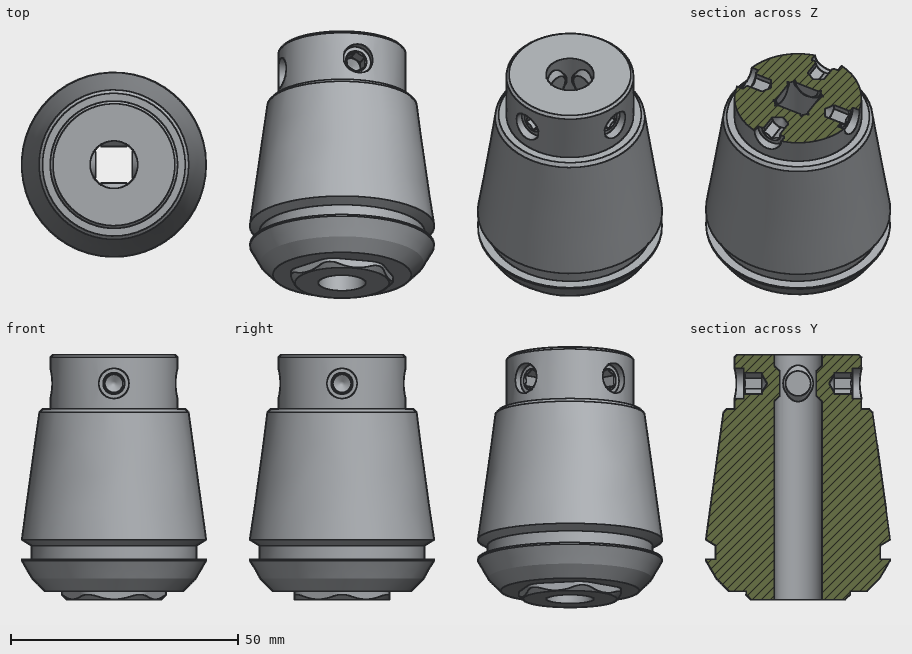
import cadquery as cq
import math

hex_sides = 6
full_turn = 360.0

total_height = 54.0
collar_radius = 28.0 / 2
collar_chamfer = 0.6
shoulder_z = 42.0
shoulder_radius = 16.45
shoulder_chamfer = 0.75
skirt_radius = 40.65 / 2
skirt_bottom_z = 13.25

neck_radius = 18.2
neck_top_z = 11.95

cap_radius = 40.55 / 2
cap_top_z = 8.95
rim_height = 0.4
cap_step_radius = 18.0
cap_step_z = 4.65
cap_bottom_radius = 15.25
cap_bottom_z = 1.9

hex_across_flats = 21.0
hex_corner_radius = 4.0
hex_bevel_radius = 10.35

bore_radius = 10.5 / 2

screw_count = 4
screw_z = 47.65
screw_radius = 4.0
screw_hole_radius = 6.65 / 2
screw_tip = 4.0
screw_head = 12.0
tip_chamfer = 1.25
socket_across_flats = 4.0
socket_mouth_radius = 2.4
socket_depth = 4.0
socket_turn = 90.0
socket_cone_angle = 120.0


def make_body():
    """Revolved outside shape from the cap to the collar."""
    chamfer_z = shoulder_z - shoulder_chamfer
    profile = (
        cq.Workplane("XZ")
        .moveTo(0, cap_bottom_z)
        .lineTo(cap_bottom_radius, cap_bottom_z)
        .lineTo(cap_step_radius, cap_step_z)
        .lineTo(cap_radius, cap_top_z - rim_height)
        .lineTo(cap_radius, cap_top_z)
        .lineTo(neck_radius, cap_top_z)
        .lineTo(neck_radius, neck_top_z)
        .lineTo(skirt_radius, skirt_bottom_z)
        .lineTo(shoulder_radius, chamfer_z)
        .lineTo(shoulder_radius - shoulder_chamfer, shoulder_z)
        .lineTo(collar_radius, shoulder_z)
        .lineTo(collar_radius, total_height - collar_chamfer)
        .lineTo(collar_radius - collar_chamfer, total_height)
        .lineTo(0, total_height)
        .close()
    )
    return profile.revolve(full_turn, (0, 0, 0), (0, 1, 0))


def hex_corner_diameter(across_flats):
    """Diameter of the circle through the corners of a hexagon."""
    return across_flats / math.cos(math.pi / hex_sides)


def make_hex_nut():
    """Hexagon with rounded corners, its bottom edge trimmed by a 45 degree cone."""
    nut = (
        cq.Workplane("XY")
        .polygon(hex_sides, hex_corner_diameter(hex_across_flats))
        .extrude(cap_bottom_z)
        .edges("|Z")
        .fillet(hex_corner_radius)
    )
    bevel_cone = (
        cq.Workplane("XZ")
        .lineTo(hex_bevel_radius, 0)
        .lineTo(hex_bevel_radius + cap_bottom_z, cap_bottom_z)
        .lineTo(0, cap_bottom_z)
        .close()
        .revolve(full_turn, (0, 0, 0), (0, 1, 0))
    )
    return nut.intersect(bevel_cone)


def make_shank():
    """Set screw body along +X at height zero, with a 45 degree flat-ended tip towards the axis."""
    return (
        cq.Workplane("YZ", origin=(screw_tip, 0, 0))
        .circle(screw_radius)
        .extrude(screw_head - screw_tip)
        .faces("<X")
        .chamfer(tip_chamfer)
    )


def make_socket():
    """Hex socket in the outer end of the screw, with a countersunk mouth and a drilled cone floor."""
    inner_radius = socket_across_flats / 2
    floor_x = screw_head - socket_depth
    hexagon = (
        cq.Workplane("YZ", origin=(floor_x, 0, 0))
        .polygon(hex_sides, hex_corner_diameter(socket_across_flats))
        .extrude(socket_depth)
        .rotate((0, 0, 0), (1, 0, 0), socket_turn)
    )
    floor_slope = math.tan(math.radians(socket_cone_angle / 2))
    floor_cone = make_cone(floor_x, inner_radius, inner_radius / floor_slope)
    mouth_cone = make_cone(screw_head, socket_mouth_radius, socket_mouth_radius)
    return hexagon.union(floor_cone).union(mouth_cone)


def make_cone(base_x, radius, depth):
    """Cone on the X axis with its base at base_x and its point towards the part axis."""
    return (
        cq.Workplane("XY")
        .moveTo(base_x - depth, 0)
        .lineTo(base_x, radius)
        .lineTo(base_x, 0)
        .close()
        .revolve(full_turn, (0, 0, 0), (1, 0, 0))
    )


def make_screw_hole():
    """Radial hole along +X from the axis out through the collar wall."""
    return cq.Workplane("YZ").circle(screw_hole_radius).extrude(collar_radius)


def around_collar(shape, index):
    """Lift a shape to the screw height and turn it to its place round the collar."""
    angle = index * full_turn / screw_count
    return shape.translate((0, 0, screw_z)).rotate((0, 0, 0), (0, 0, 1), angle)


bore = cq.Workplane("XY").circle(bore_radius).extrude(total_height)
result = make_body().union(make_hex_nut()).cut(bore)
for index in range(screw_count):
    result = result.cut(around_collar(make_screw_hole(), index))
for index in range(screw_count):
    screw = make_shank().cut(make_socket())
    result = result.union(around_collar(screw, index))